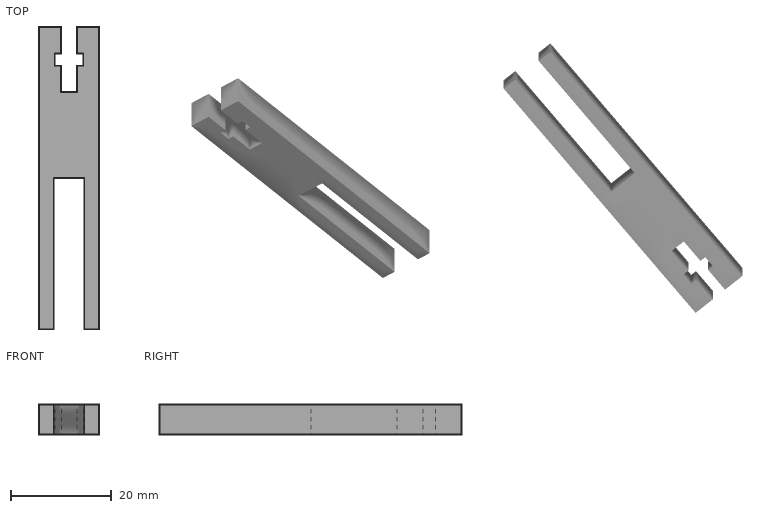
import cadquery as cq

length = 60.0
width = 12.0
thickness = 6.0

fork_slot_width = width / 2
fork_slot_length = length / 2

screw_slot_width = 3.1
screw_slot_length = 12.9
nut_pocket_width = 5.6
nut_pocket_length = 2.4
nut_pocket_setback = 5.3


def through_cut(cut_width, cut_length, y_min):
    """Full-thickness block centred on X, running towards +Y from y_min."""
    return (
        cq.Workplane("XY")
        .box(cut_width, cut_length, thickness, centered=(True, False, True))
        .translate((0, y_min, 0))
    )


y_end = length / 2
bar = cq.Workplane("XY").box(width, length, thickness)
fork_slot = through_cut(fork_slot_width, fork_slot_length, -y_end)
screw_slot = through_cut(screw_slot_width, screw_slot_length, y_end - screw_slot_length)
nut_pocket = through_cut(
    nut_pocket_width, nut_pocket_length, y_end - nut_pocket_setback - nut_pocket_length
)

result = bar.cut(fork_slot).cut(screw_slot).cut(nut_pocket)